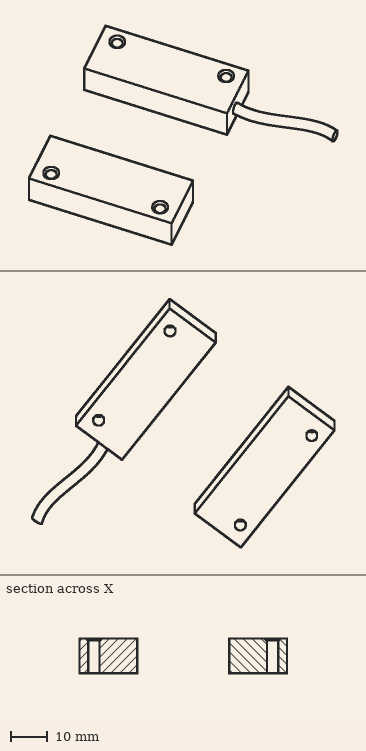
import cadquery as cq

block_length = 42.0
block_width = 15.9
block_height = 9.6
block_gap = 25.0
block_center_y = (block_gap + block_width) / 2

hole_diameter = 3.0
countersink_diameter = 4.3
countersink_angle = 90.0
hole_end_offset = 5.0
hole_edge_offset = 4.0
hole_spacing = block_length - 2 * hole_end_offset

cable_diameter = 3.2
cable_exit_y = block_center_y - 1.95
cable_low_point = (4.8, -0.65)
cable_high_point = (22.6, 2.0)
cable_end_point = (28.93, 1.07)
cable_exit_slope = -0.26
cable_end_slope = -0.38

magnet_diameter = 7.0
magnet_depth = 20.0
magnet_edge_offset = 6.0


def make_block(side):
    """Block on the +Y (side = 1) or -Y (side = -1) half, with its two mounting holes."""
    hole_y = side * (block_width / 2 - hole_edge_offset)
    return (
        cq.Workplane("XY")
        .box(block_length, block_width, block_height, centered=(False, True, False))
        .faces(">Z")
        .workplane(origin=(block_length / 2, 0, 0))
        .pushPoints([(-hole_spacing / 2, hole_y), (hole_spacing / 2, hole_y)])
        .cskHole(hole_diameter, countersink_diameter, countersink_angle)
        .translate((0, side * block_center_y, 0))
    )


def make_cable():
    """Cord swept along an S-shaped centreline in the horizontal mid-plane of the block."""
    exit_point = cq.Vector(block_length, cable_exit_y, block_height / 2)
    exit_direction = cq.Vector(1, cable_exit_slope, 0)
    end_direction = cq.Vector(1, cable_end_slope, 0)
    later_points = [cable_low_point, cable_high_point, cable_end_point]
    points = [exit_point] + [exit_point + cq.Vector(dx, dy, 0) for dx, dy in later_points]
    centreline = cq.Workplane("XY").spline(points, tangents=[exit_direction, end_direction])
    section_plane = cq.Plane(origin=exit_point, xDir=(0, 0, 1), normal=(1, 0, 0))
    return cq.Workplane(section_plane).circle(cable_diameter / 2).sweep(centreline)


def make_magnet():
    """Cylindrical magnet lying along X, just inside the -X face of the magnet block."""
    magnet_y = -block_center_y + block_width / 2 - magnet_edge_offset
    return (
        cq.Workplane("YZ", origin=(0, magnet_y, block_height / 2))
        .circle(magnet_diameter / 2)
        .extrude(magnet_depth)
    )


sensor = make_block(1).union(make_cable())

magnet_block = make_block(-1).union(make_magnet(), clean=False)

result = cq.Compound.makeCompound([*sensor.solids().vals(), magnet_block.val()])